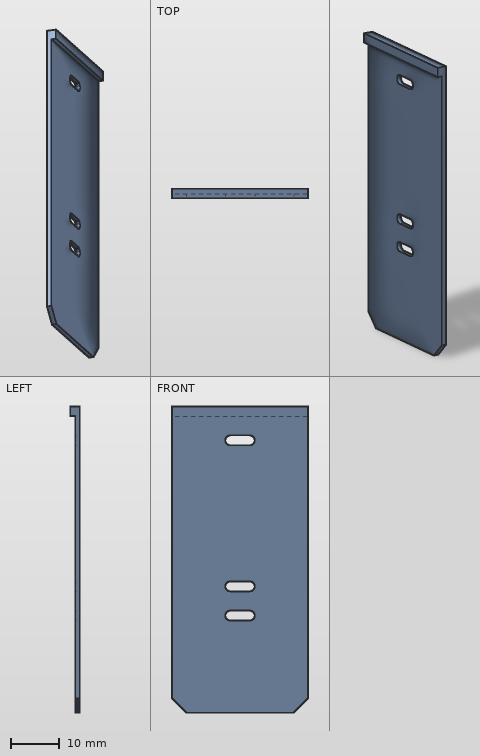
import cadquery as cq

width = 28.0
height = 63.0
plate_thickness = 1.0
corner_chamfer = 3.0

lip_depth = 2.0
lip_height = 2.0

slot_length = 6.0
slot_width = 2.0
slot_drops = (7.0, 37.0, 43.0)


def make_plate():
    """Flat plate with its two bottom corners cut off."""
    half_width = width / 2
    chamfer_x = half_width - corner_chamfer
    outline = [
        (-chamfer_x, 0),
        (chamfer_x, 0),
        (half_width, corner_chamfer),
        (half_width, height),
        (-half_width, height),
        (-half_width, corner_chamfer),
    ]
    return cq.Workplane("XZ").polyline(outline).close().extrude(-plate_thickness)


def make_lip():
    """Full-width bar that thickens the top edge towards the back."""
    lip = cq.Workplane("XY").box(width, lip_depth, lip_height, centered=(True, False, False))
    return lip.translate((0, 0, height - lip_height))


def make_slot(drop):
    """Round-ended cutter running through the plate thickness."""
    slot = cq.Workplane("XZ").center(0, height - drop).slot2D(slot_length, slot_width)
    return slot.extrude(-plate_thickness)


result = make_plate().union(make_lip())
for slot_drop in slot_drops:
    result = result.cut(make_slot(slot_drop))